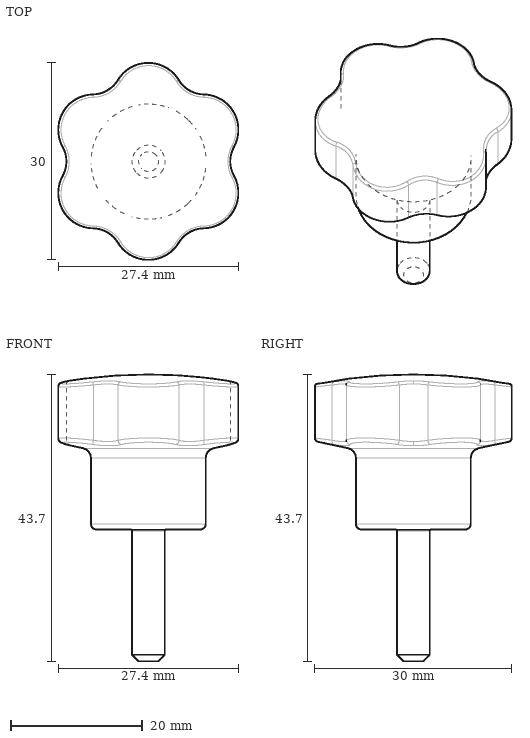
import cadquery as cq
import math

TOTAL_HEIGHT = 43.65
COLLAR_BOTTOM = 20.05

LOBE_COUNT = 6
GRIP_DIAMETER = 30.0
GRIP_RADIUS = GRIP_DIAMETER / 2
LOBE_RADIUS = 5.4
HOLLOW_RADIUS = 4.5
DOME_RADIUS = 76.4
TOP_FILLET = 0.5
UNDERSIDE_FILLET = 0.65

UNDERSIDE_RIM_HEIGHT = 33.5
UNDERSIDE_ANGLE = 12.0

COLLAR_RADIUS = 17.5 / 2
COLLAR_NECK_FILLET = 1.5
COLLAR_BOTTOM_FILLET = 0.87

PIN_RADIUS = 5.0 / 2
PIN_CHAMFER = 1.0
PIN_ROOT_FILLET = 0.2


def polar(radius, angle):
    """Point at a given radius and angle (degrees) from the axis."""
    return radius * math.cos(math.radians(angle)), radius * math.sin(math.radians(angle))


def make_scalloped_prism():
    """Full-height prism with the lobed outline; one lobe points along +Y."""
    pitch = 360 / LOBE_COUNT
    half_pitch = math.radians(pitch / 2)
    lobe_centre = GRIP_RADIUS - LOBE_RADIUS
    centre_span = LOBE_RADIUS + HOLLOW_RADIUS
    lobe_offset = lobe_centre * math.sin(half_pitch)
    hollow_centre = lobe_centre * math.cos(half_pitch) + math.sqrt(centre_span**2 - lobe_offset**2)
    hollow_bottom = hollow_centre - HOLLOW_RADIUS

    share = HOLLOW_RADIUS / centre_span
    tangent_x = hollow_centre + share * (lobe_centre * math.cos(half_pitch) - hollow_centre)
    tangent_y = share * lobe_offset
    tangent_radius = math.hypot(tangent_x, tangent_y)
    tangent_angle = math.degrees(math.atan2(tangent_y, tangent_x))

    outline = cq.Workplane("XY").moveTo(*polar(tangent_radius, -tangent_angle))
    for index in range(LOBE_COUNT):
        angle = index * pitch
        hollow_end = polar(tangent_radius, angle + tangent_angle)
        lobe_end = polar(tangent_radius, angle + pitch - tangent_angle)
        outline = outline.threePointArc(polar(hollow_bottom, angle), hollow_end)
        outline = outline.threePointArc(polar(GRIP_RADIUS, angle + pitch / 2), lobe_end)
    return outline.close().extrude(TOTAL_HEIGHT)


def make_grip():
    """Lobed prism trimmed by a domed top and a conical underside."""
    blank_radius = GRIP_RADIUS + 0.45
    slope = math.tan(math.radians(UNDERSIDE_ANGLE))
    cone_apex = UNDERSIDE_RIM_HEIGHT - GRIP_RADIUS * slope
    dome_centre = TOTAL_HEIGHT - DOME_RADIUS

    def dome_height(radius):
        return dome_centre + math.sqrt(DOME_RADIUS**2 - radius**2)

    blank = (
        cq.Workplane("XZ")
        .moveTo(0, cone_apex)
        .lineTo(blank_radius, cone_apex + blank_radius * slope)
        .lineTo(blank_radius, dome_height(blank_radius))
        .threePointArc((blank_radius / 2, dome_height(blank_radius / 2)), (0, TOTAL_HEIGHT))
        .close()
        .revolve(360, (0, 0), (0, 1))
    )
    grip = make_scalloped_prism().intersect(blank)
    grip = grip.faces(">Z").edges().fillet(TOP_FILLET)
    return grip.faces("<Z").edges().fillet(UNDERSIDE_FILLET)


def make_collar():
    """Cylinder reaching up into the grip, rounded at its bottom edge."""
    return (
        cq.Workplane("XY", origin=(0, 0, COLLAR_BOTTOM))
        .circle(COLLAR_RADIUS)
        .extrude(UNDERSIDE_RIM_HEIGHT - COLLAR_BOTTOM)
        .faces("<Z")
        .edges()
        .fillet(COLLAR_BOTTOM_FILLET)
    )


def make_pin():
    """Pin running up into the collar, chamfered at its tip."""
    return (
        cq.Workplane("XY")
        .circle(PIN_RADIUS)
        .extrude(UNDERSIDE_RIM_HEIGHT)
        .faces("<Z")
        .chamfer(PIN_CHAMFER)
    )


def circle_edges_near(solid, height):
    """Circular edges lying in a thin slab around the given height."""
    margin = 0.2
    slab = cq.selectors.BoxSelector(
        (-GRIP_RADIUS, -GRIP_RADIUS, height - margin),
        (GRIP_RADIUS, GRIP_RADIUS, height + margin),
    )
    return solid.edges("%CIRCLE").edges(slab)


def round_neck(knob):
    """Fillet the circle where the collar meets the conical underside."""
    slope = math.tan(math.radians(UNDERSIDE_ANGLE))
    neck_height = UNDERSIDE_RIM_HEIGHT - (GRIP_RADIUS - COLLAR_RADIUS) * slope
    return circle_edges_near(knob, neck_height).fillet(COLLAR_NECK_FILLET)


def round_pin_root(knob):
    """Fillet the circle where the pin leaves the flat bottom of the collar."""
    root = cq.selectors.RadiusNthSelector(0)
    return circle_edges_near(knob, COLLAR_BOTTOM).edges(root).fillet(PIN_ROOT_FILLET)


head = round_neck(make_grip().union(make_collar()))
result = round_pin_root(head.union(make_pin()))